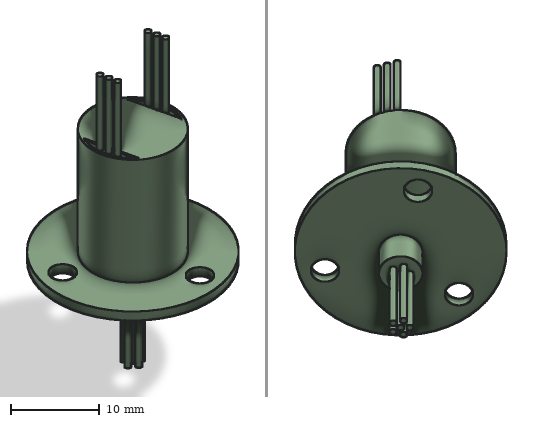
import cadquery as cq
import math

total_height = 42.2
flange_diameter = 24.0
flange_thickness = 1.25
body_diameter = 12.5
hub_diameter = 4.95
hub_height = 4.0

mount_hole_diameter = 3.2
mount_hole_circle_radius = 9.0
mount_hole_count = 3

wire_diameter = 0.8
wire_length = 10.0
upper_wire_pitch = 1.2
upper_wire_offset = 5.1
upper_wires_per_row = 3
lower_wire_circle_radius = 1.05
lower_wire_ring_count = 5
lower_wire_start_angle = -90.0

pocket_radius = 5.85
pocket_flat_offset = 4.6
pocket_depth = 0.25

body_top = total_height - 2 * wire_length - hub_height
pocket_floor = body_top - pocket_depth
hub_bottom = -hub_height


def cylinder(diameter, bottom, height, x=0.0, y=0.0):
    """Vertical cylinder standing on the given level."""
    base = cq.Workplane("XY").workplane(offset=bottom).center(x, y)
    return base.circle(diameter / 2).extrude(height)


def ring_points(radius, count, start_angle):
    """Points spaced evenly around the Z axis."""
    angles = [math.radians(start_angle + 360 * i / count) for i in range(count)]
    return [(radius * math.cos(a), radius * math.sin(a)) for a in angles]


def wire_pocket(side):
    """Circular-segment recess in the body top; side is +1 or -1 along Y."""
    half_chord = math.sqrt(pocket_radius**2 - pocket_flat_offset**2)
    flat_y = side * pocket_flat_offset
    return (
        cq.Workplane("XY")
        .workplane(offset=pocket_floor)
        .moveTo(-half_chord, flat_y)
        .threePointArc((0, side * pocket_radius), (half_chord, flat_y))
        .close()
        .extrude(pocket_depth)
    )


result = cylinder(flange_diameter, 0, flange_thickness)
result = result.union(cylinder(body_diameter, 0, body_top))
result = result.union(cylinder(hub_diameter, hub_bottom, hub_height))

for x, y in ring_points(mount_hole_circle_radius, mount_hole_count, 0):
    result = result.cut(cylinder(mount_hole_diameter, 0, flange_thickness, x, y))

for side in (1, -1):
    result = result.cut(wire_pocket(side))
    for i in range(upper_wires_per_row):
        x = (i - (upper_wires_per_row - 1) / 2) * upper_wire_pitch
        y = side * upper_wire_offset
        result = result.union(cylinder(wire_diameter, pocket_floor, pocket_depth + wire_length, x, y))

lower_wires = ring_points(lower_wire_circle_radius, lower_wire_ring_count, lower_wire_start_angle)
for x, y in [(0, 0)] + lower_wires:
    result = result.union(cylinder(wire_diameter, hub_bottom - wire_length, wire_length, x, y))